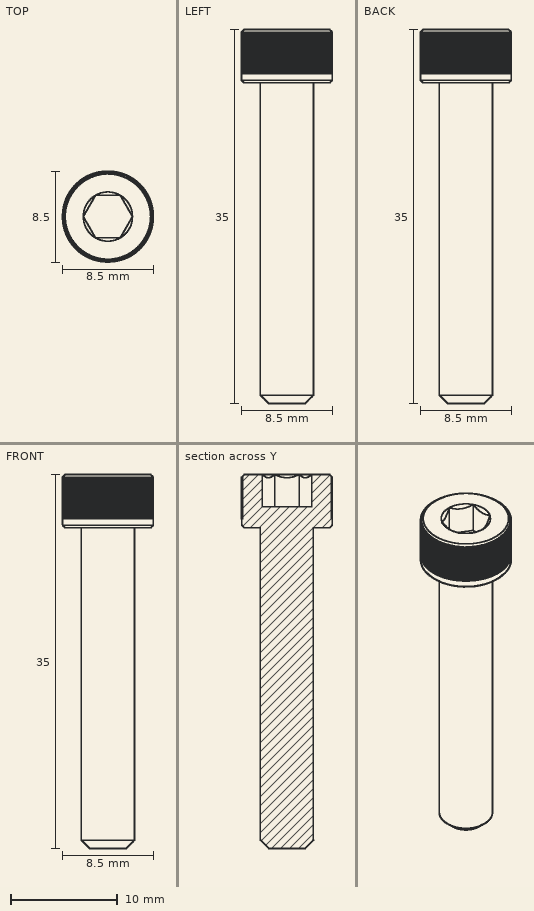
import cadquery as cq
import math

total_length = 35.0
head_diameter = 8.5
head_height = 5.0
shank_diameter = 5.0

head_chamfer_width = 0.262
head_chamfer_height = 0.25
head_underside_chamfer = 0.25
tip_chamfer = 0.8

hex_across_flats = 4.0
hex_depth = 3.0
countersink_angle = 90.0

groove_count = 175
groove_width = 0.15
groove_depth = 0.2
plain_rim_height = 0.88

head_radius = head_diameter / 2
shank_radius = shank_diameter / 2
head_bottom = total_length - head_height
hex_across_corners = hex_across_flats / math.cos(math.pi / 6)
knurl_bottom = head_bottom + plain_rim_height
knurl_top = total_length - head_chamfer_height


def screw_blank():
    """Revolve the half profile of tip, shank and head about the Z axis."""
    return (
        cq.Workplane("XZ")
        .moveTo(0, 0)
        .lineTo(shank_radius - tip_chamfer, 0)
        .lineTo(shank_radius, tip_chamfer)
        .lineTo(shank_radius, head_bottom)
        .lineTo(head_radius - head_underside_chamfer, head_bottom)
        .lineTo(head_radius, head_bottom + head_underside_chamfer)
        .lineTo(head_radius, knurl_top)
        .lineTo(head_radius - head_chamfer_width, total_length)
        .lineTo(0, total_length)
        .close()
        .revolve(360, (0, 0, 0), (0, 1, 0))
    )


def hex_socket():
    """Hexagonal pocket, with a cone that trims the rim to a circle through the corners."""
    pocket = (
        cq.Workplane("XY", origin=(0, 0, total_length))
        .polygon(6, hex_across_corners)
        .extrude(-hex_depth)
    )
    rim_radius = hex_across_corners / 2
    cone_depth = rim_radius / math.tan(math.radians(countersink_angle / 2))
    cone = cq.Solid.makeCone(
        rim_radius, 0, cone_depth, pnt=cq.Vector(0, 0, total_length), dir=cq.Vector(0, 0, -1)
    )
    return pocket.union(cone)


def at_angle(radius, angle):
    """Point at a radius and an angle around the Z axis."""
    return (radius * math.cos(angle), radius * math.sin(angle))


def knurled_prism():
    """Solid prism whose outline runs around the lands and down into the groove roots."""
    pitch = 2 * math.pi / groove_count
    half_groove = groove_width / 2 / head_radius
    outline = []
    for groove in range(groove_count):
        center = -math.pi / 2 + (groove + 0.5) * pitch
        outline.append(at_angle(head_radius, center - half_groove))
        outline.append(at_angle(head_radius - groove_depth, center))
        outline.append(at_angle(head_radius, center + half_groove))
    return (
        cq.Workplane("XY", origin=(0, 0, knurl_bottom))
        .polyline(outline)
        .close()
        .extrude(knurl_top - knurl_bottom)
    )


def knurl_cutter():
    """Material between the plain head surface and the knurled outline."""
    sleeve = (
        cq.Workplane("XY", origin=(0, 0, knurl_bottom))
        .circle(head_radius + groove_depth)
        .extrude(knurl_top - knurl_bottom)
    )
    return sleeve.cut(knurled_prism())


result = screw_blank().cut(knurl_cutter()).cut(hex_socket())